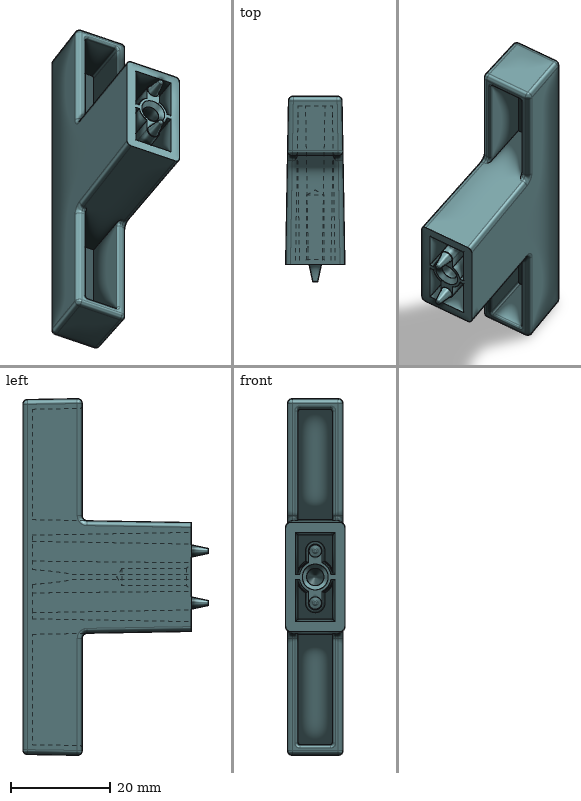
import cadquery as cq
import math


grip_length = 72.0
grip_depth = 12.0
stem_length = 22.0
stem_width = 12.0
stem_height = 22.0
wall = 2.0
draft = math.tan(math.radians(1.0))

edge_radius = 1.0
rim_radius = 0.5
pocket_corner_radius = 0.5

screw_boss_radius = 3.2
hole_mouth_radius = 2.6
hole_throat_radius = 1.75
countersink_depth = 1.0
hole_depth = 14.0
hole_tip_angle = 118.0
pin_spacing = 10.5
pin_boss_radius = 1.4
pin_base_radius = 1.25
pin_tip_radius = 0.5
pin_tip_rounding = 0.25
pin_projection = 3.5
rib_thickness = 1.0

slot_depth = 1.5

back_y = stem_length + grip_depth
floor_y = back_y - wall


def half_width(y):
    """Outer half-width along X; the part narrows towards the back."""
    return stem_width / 2 - y * draft


def half_stem_height(y):
    """Outer half-height of the stem; it grows towards the back."""
    return stem_height / 2 + y * draft


def half_grip_length(y):
    """Outer half-length of the grip; it shrinks towards the back."""
    return grip_length / 2 - (y - stem_length) * draft


def frustum_block(y0, x0, bottom0, top0, y1, x1, bottom1, top1):
    """Block between rectangles at y0 and y1, given by half-width, bottom and top."""
    span = 2 * max(abs(z) for z in (bottom0, top0, bottom1, top1))
    plan = cq.Workplane("XY").polyline([(-x0, y0), (x0, y0), (x1, y1), (-x1, y1)]).close()
    side = cq.Workplane("YZ").polyline([(y0, bottom0), (y0, top0), (y1, top1), (y1, bottom1)]).close()
    return plan.extrude(span, both=True).intersect(side.extrude(2 * max(x0, x1), both=True))


def revolve_about_y(profile, z=0.0):
    """Revolve (radius, y) points about an axis parallel to Y at height z."""
    solid = cq.Workplane("XY").polyline(profile).close().revolve(360, (0, 0), (0, 1))
    return solid.translate((0, 0, z))


def cone_along_y(y0, radius0, y1, radius1, z=0.0):
    """Truncated cone with its axis parallel to Y, from y0 to y1."""
    return revolve_about_y([(0, y0), (radius0, y0), (radius1, y1), (0, y1)], z)


def make_body():
    """Solid T with all outer edges rounded, except around the mounting face."""
    profile = [
        (0, half_stem_height(0)),
        (stem_length, half_stem_height(stem_length)),
        (stem_length, half_grip_length(stem_length)),
        (back_y, half_grip_length(back_y)),
    ]
    outline = profile + [(y, -z) for y, z in reversed(profile)]
    tee = cq.Workplane("YZ").polyline(outline).close().extrude(stem_width, both=True)
    half_length = half_grip_length(stem_length)
    envelope = frustum_block(
        0, half_width(0), -half_length, half_length,
        back_y, half_width(back_y), -half_length, half_length,
    )
    body = tee.intersect(envelope)

    corner_z = half_stem_height(stem_length)
    reach = edge_radius / 2
    corner_box = cq.selectors.BoxSelector(
        (-stem_width, stem_length - reach, -corner_z - reach),
        (stem_width, stem_length + reach, corner_z + reach),
    )
    body = body.edges("|X").edges(corner_box).fillet(edge_radius)

    neck_limit = corner_z + 2 * edge_radius
    neck_lines = [
        edge for edge in body.edges("|X").vals()
        if edge.Center().y < back_y and abs(edge.Center().z) < neck_limit
    ]
    kept = body.faces("<Y").edges().vals() + neck_lines
    rounded = [edge for edge in body.edges().vals() if not any(edge.isSame(other) for other in kept)]
    return body.newObject(rounded).fillet(edge_radius)


def cut_grip_pocket(body, side):
    """Pocket with a rounded rim in one arm of the grip; side is +1 for the upper arm, -1 for the lower.

    The cut also ploughs a shallow slot along the stem, which fill_stem closes again.
    """
    def limits(y):
        inner = side * (half_stem_height(y) - slot_depth)
        outer = side * (half_grip_length(y) - wall)
        return min(inner, outer), max(inner, outer)

    pocket = frustum_block(
        -wall, half_width(-wall) - wall, *limits(-wall),
        floor_y, half_width(floor_y) - wall, *limits(floor_y),
    )
    depth_edges = pocket.edges("not(|X or |Z)").vals()
    depth_edges.sort(key=lambda edge: side * edge.Center().z)
    outer_corners = depth_edges[-2:]
    pocket = pocket.newObject(outer_corners).fillet(pocket_corner_radius)
    body = body.cut(pocket)

    end_z = side * (half_grip_length(stem_length) - wall)
    outer_rim = cq.selectors.NearestToPointSelector((0, stem_length, end_z))
    return body.edges(outer_rim).fillet(rim_radius)


def fill_stem(body):
    """Solid core of the stem, whose upper and lower faces also end the grip pockets."""
    near_z = half_stem_height(0)
    far_z = half_stem_height(floor_y)
    core = frustum_block(
        0, half_width(0) - edge_radius, -near_z, near_z,
        floor_y, half_width(floor_y) - edge_radius, -far_z, far_z,
    )
    return body.union(core)


def cut_stem_cavity(body):
    """Rectangular cavity from the mounting face to the back wall, narrowing with depth."""
    half_x = half_width(0) - wall
    half_z = half_stem_height(0) - wall
    shrink = floor_y * draft
    cavity = frustum_block(
        0, half_x, -half_z, half_z,
        floor_y, half_x - shrink, shrink - half_z, half_z - shrink,
    )
    return body.cut(cavity)


def add_bosses(body):
    """Screw boss, its two side ribs, and the two pin bosses joined to it by webs."""
    growth = floor_y * draft
    screw_boss = cone_along_y(0, screw_boss_radius, floor_y, screw_boss_radius + growth)
    half_rib = rib_thickness / 2
    rib_embedding = wall / 2
    ribs = frustum_block(
        0, half_width(0) - rib_embedding, -half_rib, half_rib,
        floor_y, half_width(floor_y) - rib_embedding, -half_rib, half_rib,
    )
    webs = frustum_block(
        0, pin_boss_radius, -pin_spacing / 2, pin_spacing / 2,
        floor_y, pin_boss_radius + growth, -pin_spacing / 2, pin_spacing / 2,
    )
    body = body.union(screw_boss).union(ribs).union(webs)
    for side in (1, -1):
        z = side * pin_spacing / 2
        body = body.union(cone_along_y(0, pin_boss_radius, floor_y, pin_boss_radius + growth, z))
        pin = cone_along_y(-pin_projection, pin_tip_radius, 0, pin_base_radius, z)
        body = body.union(pin.faces("<Y").edges().fillet(pin_tip_rounding))
    return body


def cut_screw_hole(body):
    """Countersunk blind hole with a drilled tip."""
    tip_length = hole_throat_radius / math.tan(math.radians(hole_tip_angle / 2))
    profile = [
        (0, 0),
        (hole_mouth_radius, 0),
        (hole_throat_radius, countersink_depth),
        (hole_throat_radius, hole_depth),
        (0, hole_depth + tip_length),
    ]
    return body.cut(revolve_about_y(profile))


result = make_body()
for arm in (1, -1):
    result = cut_grip_pocket(result, arm)
result = fill_stem(result)
result = cut_stem_cavity(result)
result = add_bosses(result)
result = cut_screw_hole(result)